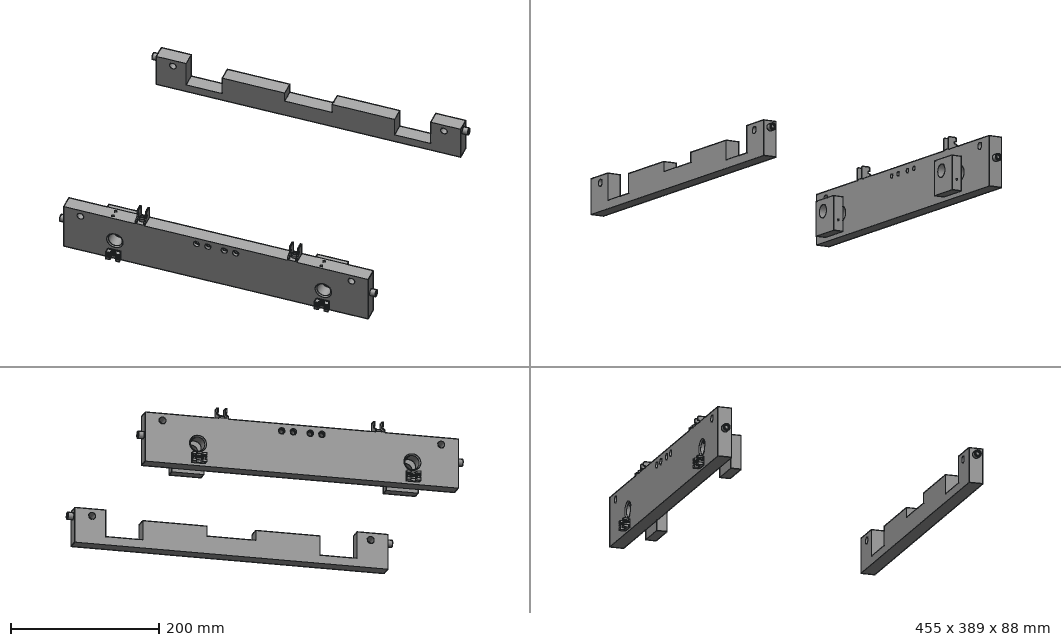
import cadquery as cq
overall_length = 455.0
overall_depth = 389.0
overall_height = 88.0
bar_length = 439.0
bar_thickness = 20.0
end_chamfer = 0.5
clip_depth = 9.0
block_gap = 15.0
rear_bar_y = overall_depth - clip_depth - bar_thickness
block_y = bar_thickness + block_gap
station_spacing = 300.5
station_xs = (-station_spacing / 2, station_spacing / 2)
sides = (-1, 1)

pin_diameter = 10.0
pin_height = 40.0
pin_length = (overall_length - bar_length) / 2
pin_chamfer = 0.5
pin_socket_diameter = 6.0
pin_socket_depth = 2.7

end_hole_diameter = 9.5
end_hole_x = 195.0
hole_drop = 10.0

front_height = 70.0
bore_diameter = 20.0
bore_chamfer = 2.0
bore_offset = 4.5
bore_height = 31.5
middle_hole_diameter = 6.0
middle_counterbore_diameter = 8.5
middle_counterbore_depth = 4.5
middle_hole_xs = (12.0, 28.0)
set_hole_diameter = 3.45
set_hole_spacing = 10.0

bracket_x = 109.5
bracket_width = 13.5
bracket_height = overall_height - front_height
bracket_wall = 2.0
bracket_floor = 1.0
hook_nose_y = 7.7
hook_chamfer = 1.5
hook_slot_y = 9.0
hook_slot_width = 3.0
hook_front_height = 3.5
hook_slope_rise = 5.0
screw_head_diameter = 8.5
screw_head_height = 5.5
screw_head_chamfer = 1.5
socket_diameter = 4.15
socket_depth = 2.7

clip_width = 19.5
clip_height = 12.7
clip_bottom = 3.5
groove_width = 6.5
groove_mouth = 8.5
groove_depth = 5.5
neck_depth = 2.0
neck_inset = 1.0
side_groove_depth = 1.0
side_grooves = ((7.5, 2.7), (12.0, 2.0))

rear_height = 49.5
rear_middle_height = 39.0
outer_notch_floor = 12.0
inner_notch_floor = 25.0
post_inner_x = 176.0
middle_outer_x = 124.0
middle_inner_x = 34.0

block_length = 45.5
block_thickness = 15.0
block_height = 48.2
block_bore_diameter = 18.0
side_hole_diameter = 2.45
side_hole_height = 15.5
side_hole_depth = 9.0


def box(x_size, y_size, z_size, x_centre, y_front, z_bottom):
    """Box centred on x_centre, starting at y_front and z_bottom."""
    corner = cq.Vector(x_centre - x_size / 2, y_front, z_bottom)
    return cq.Workplane(cq.Solid.makeBox(x_size, y_size, z_size, corner))


def rod(diameter, length, start, direction):
    """Cylinder of the given length from a start point along a direction."""
    solid = cq.Solid.makeCylinder(diameter / 2, length, cq.Vector(*start), cq.Vector(*direction))
    return cq.Workplane(solid)


def add_end_pins(bar, y_front):
    """Chamfered pins on both ends of a bar."""
    for side in sides:
        start = (side * bar_length / 2, y_front + bar_thickness / 2, pin_height)
        face = ">X" if side > 0 else "<X"
        pin = rod(pin_diameter, pin_length, start, (side, 0, 0)).faces(face).chamfer(pin_chamfer)
        tip = (side * overall_length / 2, y_front + bar_thickness / 2, pin_height)
        pin = pin.cut(rod(pin_socket_diameter, pin_socket_depth, tip, (-side, 0, 0)))
        bar = bar.union(pin)
    return bar


def chamfer_ends(body):
    """Chamfer all edges around both X end faces."""
    return body.faces("<X or >X").edges().chamfer(end_chamfer)


def cut_end_holes(bar, y_front, bar_height):
    """Through holes near both ends of a bar."""
    for side in sides:
        start = (side * end_hole_x, y_front, bar_height - hole_drop)
        bar = bar.cut(rod(end_hole_diameter, bar_thickness, start, (0, 1, 0)))
    return bar


def cut_middle_holes(bar):
    """Row of counterbored holes through the middle of the front bar."""
    for side in sides:
        for x in middle_hole_xs:
            start = (side * x, 0, front_height - hole_drop)
            bar = bar.cut(rod(middle_hole_diameter, bar_thickness, start, (0, 1, 0)))
            bar = bar.cut(rod(middle_counterbore_diameter, middle_counterbore_depth, start, (0, 1, 0)))
    return bar


def cut_bore_station(bar, station_x):
    """Chamfered bore, and two set screw holes running down into it from the top face."""
    start = (station_x + bore_offset, 0, bore_height)
    bar = bar.cut(rod(bore_diameter, bar_thickness, start, (0, 1, 0)))
    bore_radius = bore_diameter / 2
    mouth_radius = bore_radius + bore_chamfer
    mouth = cq.Solid.makeCone(mouth_radius, bore_radius, bore_chamfer, cq.Vector(*start), cq.Vector(0, 1, 0))
    bar = bar.cut(cq.Workplane(mouth))
    for side in sides:
        y = (bar_thickness + side * set_hole_spacing) / 2
        top = (station_x, y, front_height)
        bar = bar.cut(rod(set_hole_diameter, front_height - bore_height, top, (0, 0, -1)))
    return bar


def make_bracket(x_centre):
    """U bracket with two hooked walls and a socket screw head between them."""
    slot_bottom = hook_slope_rise + hook_front_height
    profile = (
        cq.Workplane("YZ")
        .moveTo(0, 0)
        .lineTo(0, hook_front_height)
        .lineTo(hook_slot_y, slot_bottom)
        .threePointArc((hook_slot_y + hook_slot_width / 2, slot_bottom + hook_slot_width / 2),
                       (hook_slot_y, slot_bottom + hook_slot_width))
        .lineTo(hook_nose_y, slot_bottom + hook_slot_width)
        .lineTo(hook_nose_y, bracket_height - hook_chamfer)
        .lineTo(hook_nose_y + hook_chamfer, bracket_height)
        .lineTo(bar_thickness - hook_chamfer, bracket_height)
        .lineTo(bar_thickness, bracket_height - hook_chamfer)
        .lineTo(bar_thickness, 0)
        .close()
        .extrude(bracket_width)
        .translate((x_centre - bracket_width / 2, 0, front_height))
    )
    channel_width = bracket_width - 2 * bracket_wall
    floor_top = front_height + bracket_floor
    channel = box(channel_width, bar_thickness, bracket_height, x_centre, 0, floor_top)
    head_base = (x_centre, bar_thickness / 2, floor_top)
    head = rod(screw_head_diameter, screw_head_height, head_base, (0, 0, 1))
    head = head.faces(">Z").chamfer(screw_head_chamfer)
    head_top = (x_centre, bar_thickness / 2, floor_top + screw_head_height)
    socket = rod(socket_diameter, socket_depth, head_top, (0, 0, -1))
    return profile.cut(channel).union(head).cut(socket)


def jaw_tier(x_centre, z_bottom, height, inset):
    """Horizontal layer of the two jaws, its free sides set back by the inset."""
    outer_x = clip_width / 2 - inset
    mouth_x = groove_mouth / 2 + inset
    floor_x = groove_width / 2 + inset
    front_y = -clip_depth + inset
    floor_y = -clip_depth + groove_depth + inset
    return (
        cq.Workplane("XY")
        .polyline([
            (-outer_x, -neck_depth),
            (-outer_x, front_y),
            (-mouth_x, front_y),
            (-floor_x, floor_y),
            (floor_x, floor_y),
            (mouth_x, front_y),
            (outer_x, front_y),
            (outer_x, -neck_depth),
        ])
        .close()
        .extrude(height)
        .translate((x_centre, 0, z_bottom))
    )


def make_clip(x_centre):
    """Two jaws with a vertical groove between them, ribbed by side grooves, on a slimmer neck."""
    clip = jaw_tier(x_centre, clip_bottom, clip_height, 0)
    for bottom, height in side_grooves:
        ring = jaw_tier(x_centre, bottom, height, 0)
        core = jaw_tier(x_centre, bottom, height, side_groove_depth)
        clip = clip.cut(ring.cut(core))
    neck_width = clip_width - 2 * neck_inset
    neck = box(neck_width, neck_depth, clip_height - neck_inset, x_centre, -neck_depth, clip_bottom)
    return clip.union(neck)


def make_front_bar():
    """Tall drilled bar with its clips, hooked brackets and end pins."""
    bar = chamfer_ends(box(bar_length, bar_thickness, front_height, 0, 0, 0))
    bar = cut_end_holes(bar, 0, front_height)
    bar = cut_middle_holes(bar)
    for station_x in station_xs:
        bar = cut_bore_station(bar, station_x)
        bar = bar.union(make_clip(station_x + bore_offset))
    for side in sides:
        bar = bar.union(make_bracket(side * bracket_x))
    return add_end_pins(bar, 0)


def make_rear_bar():
    """Bar with two deep outer notches, a shallower middle notch and end pins."""
    half_outline = [
        (bar_length / 2, 0),
        (bar_length / 2, rear_height),
        (post_inner_x, rear_height),
        (post_inner_x, outer_notch_floor),
        (middle_outer_x, outer_notch_floor),
        (middle_outer_x, rear_middle_height),
        (middle_inner_x, rear_middle_height),
        (middle_inner_x, inner_notch_floor),
    ]
    mirrored = [(-x, z) for x, z in reversed(half_outline)]
    bar = (
        cq.Workplane("XZ")
        .polyline(half_outline + mirrored)
        .close()
        .extrude(-bar_thickness)
        .translate((0, rear_bar_y, 0))
    )
    bar = cut_end_holes(chamfer_ends(bar), rear_bar_y, rear_height)
    return add_end_pins(bar, rear_bar_y)


def make_block(station_x):
    """Plain block with a bore in line with the front bar's bore and a small hole in its left end."""
    block = chamfer_ends(box(block_length, block_thickness, block_height, station_x, block_y, 0))
    bore_start = (station_x + bore_offset, block_y, bore_height)
    block = block.cut(rod(block_bore_diameter, block_thickness, bore_start, (0, 1, 0)))
    hole_start = (station_x - block_length / 2, block_y + block_thickness / 2, side_hole_height)
    return block.cut(rod(side_hole_diameter, side_hole_depth, hole_start, (1, 0, 0)))


front_bar = make_front_bar()
rear_bar = make_rear_bar()
blocks = [make_block(station_x).val() for station_x in station_xs]
result = cq.Compound.makeCompound([front_bar.val(), rear_bar.val(), *blocks])